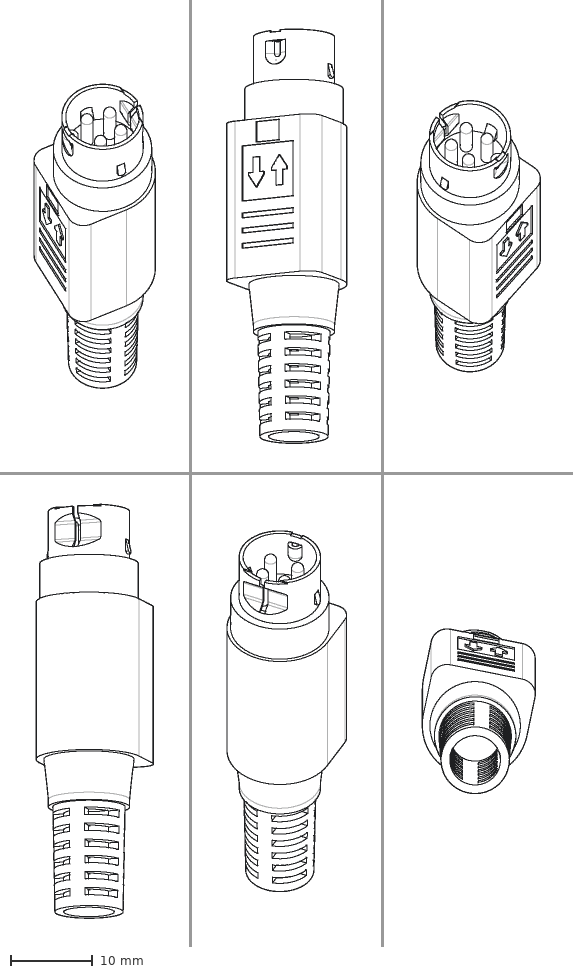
import cadquery as cq
import math

SLEEVE_TOP = 13.1
CONE_BOTTOM = 14.0
BODY_BOTTOM = 19.05
BODY_TOP = 38.7
COLLAR_TOP = 43.5
RIM = 50.0

SLEEVE_BOTTOM_RADIUS = 4.2
SLEEVE_TOP_RADIUS = 4.45
SLEEVE_BORE_RADIUS = 3.1
CONE_BOTTOM_RADIUS = 5.0
CONE_TOP_RADIUS = 5.55
SLOT_COUNT = 6
SLOT_PITCH = 2.0
SLOT_HEIGHT = 0.9
SLOT_FIRST = 1.35
RIB_HALF_WIDTH = 1.0

BODY_RADIUS = 6.5
BODY_FRONT = -6.9
BODY_CORNER = 2.0

MARK_DEPTH = 0.2
PANEL_WIDTH = 7.1
PANEL_BOTTOM = 28.6
PANEL_HEIGHT = 6.9
BADGE_WIDTH = 3.2
BADGE_HEIGHT = 2.55
BADGE_BOTTOM = 35.8
GRIP_BAR_HEIGHT = 0.6
GRIP_BAR_BOTTOM = 22.7
GRIP_BAR_PITCH = 1.9
GRIP_BAR_COUNT = 3
ARROW_X = 1.6
ARROW_Z = 32.05
ARROW_SHAFT_HALF = 0.45
ARROW_HEAD_HALF = 1.05
ARROW_LENGTH = 1.9
ARROW_HEAD_SIDE = 0.35

COLLAR_RADIUS = 6.05
SHELL_RADIUS = 5.0
SHELL_WALL = 0.5
SHELL_BORE_RADIUS = SHELL_RADIUS - SHELL_WALL
RIM_DIP = 0.2

PIN_RADIUS = 0.75
PIN_TIP = 48.65
PIN_CENTRES = [(-1.5, 1.75), (1.5, 1.75), (-1.85, -1.2), (1.85, -1.2)]

DENT_OUTER_Y = 4.0
DENT_INNER_Y = 3.7
DENT_TOP = 48.9
DENT_FLAT_TOP = 48.0
DENT_FLAT_BOTTOM = 45.75
DENT_BOTTOM = 44.75
DENT_BEND = 0.5
SEAM_WIDTH = 0.7

KEY_TOP = 48.75
KEY_END = 47.2
KEY_CENTRE_Y = -4.35
KEY_RADIUS = 0.4
KEY_SHOULDER_DEPTH = 0.45
KEY_MOUTH_HALF = 1.45
KEY_DIP_WIDTH = 1.4

LATCH_TOP = 46.15
LATCH_BOTTOM = 44.35
LATCH_POINT = 0.3
LATCH_REACH = 5.4
LATCH_WIDTH = 1.0
TAB_TOP = 46.35
TAB_REACH = 3.8
TAB_WIDTH = 1.55

OVERLAP = 0.25
CLEAR = 2.5


def cylinder(radius, bottom, top):
    return cq.Workplane("XY", origin=(0, 0, bottom)).circle(radius).extrude(top - bottom)


def box(x0, x1, y0, y1, z0, z1):
    return cq.Workplane("XY").box(x1 - x0, y1 - y0, z1 - z0, centered=False).translate((x0, y0, z0))


def make_sleeve():
    profile = [
        (0, 0),
        (SLEEVE_BOTTOM_RADIUS, 0),
        (SLEEVE_TOP_RADIUS, SLEEVE_TOP),
        (CONE_BOTTOM_RADIUS, SLEEVE_TOP),
        (CONE_BOTTOM_RADIUS, CONE_BOTTOM),
        (CONE_TOP_RADIUS, BODY_BOTTOM),
        (0, BODY_BOTTOM),
    ]
    sleeve = cq.Workplane("XZ").polyline(profile).close().revolve(360, (0, 0), (0, 1))
    sleeve = sleeve.cut(cylinder(SLEEVE_BORE_RADIUS, 0, SLEEVE_TOP))
    window = SLEEVE_TOP_RADIUS + CLEAR
    centre = RIB_HALF_WIDTH + window / 2
    corners = [(i * centre, j * centre) for i in (-1, 1) for j in (-1, 1)]
    for row in range(SLOT_COUNT):
        level = cq.Workplane("XY", origin=(0, 0, SLOT_FIRST + row * SLOT_PITCH))
        sleeve = sleeve.cut(level.pushPoints(corners).rect(window, window).extrude(SLOT_HEIGHT))
    return sleeve


def front_pocket(width, bottom, height):
    return box(-width / 2, width / 2, BODY_FRONT, BODY_FRONT + MARK_DEPTH, bottom, bottom + height)


def arrow(x, direction):
    """Raised arrow about its shoulder; direction is 1 for up and -1 for down."""
    half_outline = [
        (ARROW_SHAFT_HALF, -ARROW_LENGTH),
        (ARROW_SHAFT_HALF, 0),
        (ARROW_HEAD_HALF, 0),
        (ARROW_HEAD_HALF, ARROW_HEAD_SIDE),
    ]
    mirrored = [(-px, pz) for px, pz in reversed(half_outline)]
    outline = [(px, direction * pz) for px, pz in half_outline + [(0, ARROW_LENGTH)] + mirrored]
    plane = cq.Workplane("XZ", origin=(x, BODY_FRONT + MARK_DEPTH, ARROW_Z))
    return plane.polyline(outline).close().extrude(MARK_DEPTH)


def make_body():
    body = (
        cq.Workplane("XY", origin=(0, 0, BODY_BOTTOM))
        .moveTo(BODY_RADIUS, 0)
        .threePointArc((0, BODY_RADIUS), (-BODY_RADIUS, 0))
        .lineTo(-BODY_RADIUS, BODY_FRONT)
        .lineTo(BODY_RADIUS, BODY_FRONT)
        .close()
        .extrude(BODY_TOP - BODY_BOTTOM)
    )
    body = body.edges("|Z and <Y").fillet(BODY_CORNER)
    body = body.cut(front_pocket(PANEL_WIDTH, PANEL_BOTTOM, PANEL_HEIGHT))
    body = body.cut(front_pocket(BADGE_WIDTH, BADGE_BOTTOM, BADGE_HEIGHT))
    for row in range(GRIP_BAR_COUNT):
        bottom = GRIP_BAR_BOTTOM + row * GRIP_BAR_PITCH
        body = body.cut(front_pocket(PANEL_WIDTH, bottom, GRIP_BAR_HEIGHT))
    return body.union(arrow(-ARROW_X, -1)).union(arrow(ARROW_X, 1))


def dent_prism(flat_y, mouth_y):
    """Everything behind a flat at flat_y whose ends slope out to mouth_y, with rounded bends."""
    outer = SHELL_RADIUS + CLEAR
    outline = [
        (outer, DENT_BOTTOM),
        (mouth_y, DENT_BOTTOM),
        (flat_y, DENT_FLAT_BOTTOM),
        (flat_y, DENT_FLAT_TOP),
        (mouth_y, DENT_TOP),
        (outer, DENT_TOP),
    ]
    prism = cq.Workplane("YZ").polyline(outline).close().extrude(SHELL_RADIUS, both=True)
    return prism.faces("<Y").edges("|X").fillet(DENT_BEND)


def add_back_dent(shell):
    inside = cylinder(SHELL_RADIUS - OVERLAP, COLLAR_TOP, RIM)
    shell = shell.union(dent_prism(DENT_INNER_Y, SHELL_BORE_RADIUS).intersect(inside))
    shell = shell.cut(dent_prism(DENT_OUTER_Y, SHELL_RADIUS))
    half_seam = SEAM_WIDTH / 2
    back = SHELL_RADIUS + CLEAR
    shell = shell.cut(box(-half_seam, half_seam, OVERLAP, back, DENT_BOTTOM, RIM))
    return shell.cut(box(-back, back, DENT_OUTER_Y, back, RIM - RIM_DIP, RIM))


def key_half_outline():
    """Half of the groove section: round bottom and rounded shoulder."""
    mouth_y = KEY_CENTRE_Y - KEY_SHOULDER_DEPTH
    channel_mid = KEY_RADIUS * math.sqrt(0.5)
    shoulder_run = KEY_MOUTH_HALF - KEY_RADIUS
    shoulder_radius = (shoulder_run**2 + KEY_SHOULDER_DEPTH**2) / (2 * KEY_SHOULDER_DEPTH)
    half_angle = math.asin(shoulder_run / shoulder_radius) / 2
    shoulder_mid = (
        KEY_MOUTH_HALF - shoulder_radius * math.sin(half_angle),
        mouth_y + shoulder_radius * (1 - math.cos(half_angle)),
    )
    return (
        cq.Workplane("XY", origin=(0, 0, KEY_END))
        .moveTo(0, KEY_CENTRE_Y + KEY_RADIUS)
        .threePointArc((channel_mid, KEY_CENTRE_Y + channel_mid), (KEY_RADIUS, KEY_CENTRE_Y))
        .threePointArc(shoulder_mid, (KEY_MOUTH_HALF, mouth_y))
        .lineTo(KEY_MOUTH_HALF, -SHELL_RADIUS - CLEAR)
        .lineTo(0, -SHELL_RADIUS - CLEAR)
        .close()
    )


def key_groove():
    """Upright groove, closed at its lower end by the same section turned about Y."""
    channel = key_half_outline().extrude(KEY_TOP - KEY_END)
    end = key_half_outline().revolve(360, (0, 0, 0), (0, 1, 0))
    below = box(-CLEAR, CLEAR, -SHELL_RADIUS - CLEAR, 0, KEY_END - CLEAR, KEY_END)
    return channel.union(channel.mirror("YZ")).union(end.intersect(below))


def add_key(shell):
    ridge_radius = KEY_RADIUS + SHELL_WALL
    axis = (0, KEY_CENTRE_Y, 0)
    ridge = cylinder(ridge_radius, KEY_END, KEY_TOP).translate(axis)
    ridge = ridge.union(cq.Workplane("XY").sphere(ridge_radius).translate((0, KEY_CENTRE_Y, KEY_END)))
    ridge = ridge.intersect(cylinder(SHELL_RADIUS - OVERLAP, COLLAR_TOP, RIM))
    shell = shell.union(ridge).cut(key_groove())
    half_dip = KEY_DIP_WIDTH / 2
    return shell.cut(box(-half_dip, half_dip, -SHELL_RADIUS, -OVERLAP, RIM - RIM_DIP, RIM))


def make_latch():
    """Pointed catch outside and sloping tab inside the +X wall, both deepest at the bottom."""
    wall_x = SHELL_RADIUS - OVERLAP
    side_bottom = LATCH_BOTTOM + LATCH_POINT
    side_profile = [
        (wall_x, LATCH_TOP),
        (SHELL_RADIUS, LATCH_TOP),
        (LATCH_REACH, LATCH_BOTTOM),
        (wall_x, LATCH_BOTTOM),
    ]
    half = LATCH_WIDTH / 2
    front_outline = [
        (-half, LATCH_TOP),
        (half, LATCH_TOP),
        (half, side_bottom),
        (0, LATCH_BOTTOM),
        (-half, side_bottom),
    ]
    catch = cq.Workplane("XZ").polyline(side_profile).close().extrude(half, both=True)
    catch = catch.intersect(cq.Workplane("YZ").polyline(front_outline).close().extrude(LATCH_REACH))
    tab_profile = [
        (wall_x, TAB_TOP),
        (SHELL_BORE_RADIUS, TAB_TOP),
        (TAB_REACH, LATCH_BOTTOM),
        (wall_x, LATCH_BOTTOM),
    ]
    tab = cq.Workplane("XZ").polyline(tab_profile).close().extrude(TAB_WIDTH / 2, both=True)
    return catch.union(tab)


def make_shell():
    shell = cylinder(SHELL_RADIUS, COLLAR_TOP, RIM).cut(cylinder(SHELL_BORE_RADIUS, COLLAR_TOP, RIM))
    shell = add_back_dent(shell)
    shell = add_key(shell)
    latch = make_latch()
    return shell.union(latch).union(latch.mirror("YZ"))


def make_pins():
    length = PIN_TIP - COLLAR_TOP + OVERLAP
    level = cq.Workplane("XY", origin=(0, 0, COLLAR_TOP - OVERLAP))
    pins = level.pushPoints(PIN_CENTRES).circle(PIN_RADIUS).extrude(length - PIN_RADIUS)
    tip_level = cq.Workplane("XY", origin=(0, 0, PIN_TIP - PIN_RADIUS))
    return pins.union(tip_level.pushPoints(PIN_CENTRES).sphere(PIN_RADIUS))


result = (
    make_sleeve()
    .union(make_body())
    .union(cylinder(COLLAR_RADIUS, BODY_TOP, COLLAR_TOP))
    .union(make_shell())
    .union(make_pins())
)